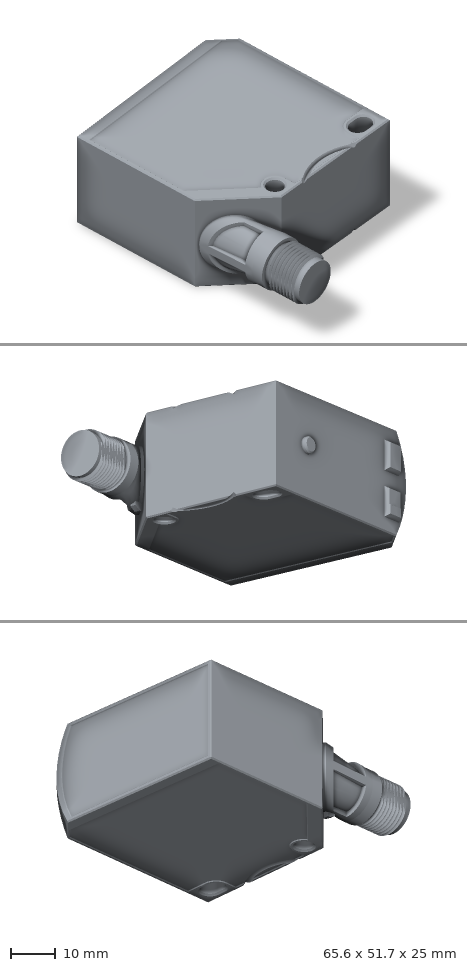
import cadquery as cq
import math

HOUSING_RIGHT = 49.95
HOUSING_DEPTH = 50.5
HOUSING_HEIGHT = 25.0
HALF_HEIGHT = HOUSING_HEIGHT / 2
FRONT_FOOT = 1.25
NOSE_Y = 48.0
BEVEL_LEG = 13.75
RIM_CHAMFER = 0.3
FOOT_CHAMFER = 0.1
NOSE_SAGITTA = 2.55
NOSE_RADIUS = (HALF_HEIGHT ** 2 + NOSE_SAGITTA ** 2) / (2 * NOSE_SAGITTA)
FRONT_SLOPE = FRONT_FOOT / NOSE_Y
BEVEL_START = HOUSING_RIGHT - BEVEL_LEG

HOLE_X = 46.1
ROUND_HOLE_Y = 15.9
SLOT_Y = 45.0
SLOT_TRAVEL = 1.95
HOLE_DIAMETER = 4.4
COUNTERSINK_DIAMETER = 5.25
COUNTERSINK_TAPER = 45
COUNTERSINK_DEPTH = (COUNTERSINK_DIAMETER - HOLE_DIAMETER) / 2

PANEL_DEPTH = 0.2
PANEL_WALL_TAPER = 45
PANEL_MARGIN = 0.8
PANEL_FRONT_MARGIN = 3.1
PANEL_BEVEL_MARGIN = 4.8
PANEL_NOSE_LEG = 2.6
PAD_RADIUS = 3.15
WINDOW_MARGIN = 0.9
WINDOW_NOSE_Y = 46.55
WINDOW_NOSE_FALL = 2.95

GROOVE_Y = 29.95
GROOVE_SETBACK = 3.35
GROOVE_RADIUS = 15.1
GROOVE_OUTER_WIDTH = 0.5
GROOVE_INNER_WIDTH = 1.0
GROOVE_DEPTH = 0.9

BOSS_HEIGHT = 1.2
BUTTON_X = 38.7
BUTTON_DIAMETER = 4.0
BUTTON_CHAMFER = 0.4
LUG_LEFT = 5.2
LUG_RIGHT = 10.4
LUG_TAPER = 30
LUG_OUTER_Z = 9.1
LUG_INNER_Z = 1.85
LOW_LUG_LIMIT_Z = 5.6
LOW_LUG_HEIGHT = 1.0

FLANGE_DIAMETER = 15.5
FLANGE_THICKNESS = 0.7
FLANGE_X = 42.35
FLANGE_Y = FLANGE_X - BEVEL_START
CONNECTOR_Y = 7.2
COLLAR_DIAMETER = 13.0
COLLAR_START = 52.65
COLLAR_END = 55.5
PLUG_END = 65.55
CORE_DIAMETER = 10.75
THREAD_DIAMETER = 12.2
THREAD_PITCH = 1.0
THREAD_START = 56.1
THREAD_TURNS = 8.3
THREAD_BASE_WIDTH = 0.85
THREAD_ROOT_OVERLAP = 0.1

RIB_WIDTH = 2.1
POCKET_TOP_START_Y = 6.0
POCKET_TOP_END_Y = 6.95
POCKET_END = 50.55
POCKET_OFFSET = 2.35
POCKET_DEPTH_FLANGE = 0.9
POCKET_DEPTH_COLLAR = 1.45
TAB_LEFT = 45.0
TAB_RIGHT = 47.2
TAB_TIP_Z = -8.45
TAB_TIP_WIDTH = 0.65
TAB_SHOULDER_Z = -7.55
TAB_ROOT_Z = -6.2
TAB_Y_START = 7.2
TAB_Y_END = 8.65


def front_x(y):
    """X of the sloping front face at a given Y."""
    return FRONT_FOOT - FRONT_SLOPE * y


def bevel_plane(distance):
    """Plane parallel to the 45 degree corner, a distance outside it, on the flange axis."""
    step = distance / math.sqrt(2)
    origin = (FLANGE_X + step, FLANGE_Y - step, 0)
    return cq.Plane(origin=origin, xDir=(1, 1, 0), normal=(1, -1, 0))


def both_faces(tool):
    """A tool made for the top face together with its mirror image for the bottom face."""
    return [tool, tool.mirror("XY")]


def housing_block():
    block = (
        cq.Workplane("XY", origin=(0, 0, -HALF_HEIGHT))
        .moveTo(front_x(0), 0)
        .lineTo(BEVEL_START, 0)
        .lineTo(HOUSING_RIGHT, BEVEL_LEG)
        .lineTo(HOUSING_RIGHT, HOUSING_DEPTH)
        .lineTo(front_x(HOUSING_DEPTH), HOUSING_DEPTH)
        .close()
        .extrude(HOUSING_HEIGHT)
        .faces("|Z")
        .edges()
        .chamfer(RIM_CHAMFER)
        .faces("<Y")
        .edges("|Z")
        .chamfer(FOOT_CHAMFER)
    )
    step = NOSE_RADIUS / math.sqrt(2)
    axis_plane = cq.Plane(origin=(step, NOSE_Y - step, 0), xDir=(0, 0, 1), normal=(1, 1, 0))
    nose = cq.Workplane(axis_plane).circle(NOSE_RADIUS).extrude(2 * PLUG_END, both=True)
    return block.intersect(nose)


def hole_tool(y, travel):
    """Countersunk through hole, stretched along Y by the given travel."""
    def outline(diameter, z):
        plane = cq.Workplane("XY", origin=(HOLE_X, y, z))
        if travel > 0:
            return plane.slot2D(diameter + travel, diameter, 90)
        return plane.circle(diameter / 2)

    tool = outline(HOLE_DIAMETER, -HALF_HEIGHT).extrude(HOUSING_HEIGHT)
    sink = outline(COUNTERSINK_DIAMETER, HALF_HEIGHT).extrude(-COUNTERSINK_DEPTH, taper=COUNTERSINK_TAPER)
    for countersink in both_faces(sink):
        tool = tool.union(countersink)
    return tool


def label_panel():
    """Shallow recess of the top face that leaves pads around the mounting holes."""
    back = HOUSING_DEPTH - PANEL_MARGIN
    right = HOUSING_RIGHT - PANEL_MARGIN
    corner_y = back - PANEL_NOSE_LEG
    corner_x = front_x(corner_y) + PANEL_FRONT_MARGIN
    bevel_x = BEVEL_START - PANEL_BEVEL_MARGIN
    diagonal = PAD_RADIUS / math.sqrt(2)
    slot_low = SLOT_Y - SLOT_TRAVEL / 2
    border_shift = (bevel_x + ROUND_HOLE_Y - HOLE_X) / 2
    meet_x = HOLE_X + border_shift - math.sqrt(PAD_RADIUS ** 2 / 2 - border_shift ** 2)
    meet_y = meet_x - bevel_x
    return (
        cq.Workplane("XY", origin=(0, 0, HALF_HEIGHT))
        .moveTo(front_x(PANEL_MARGIN) + PANEL_FRONT_MARGIN, PANEL_MARGIN)
        .lineTo(bevel_x + PANEL_MARGIN, PANEL_MARGIN)
        .lineTo(meet_x, meet_y)
        .threePointArc(
            (HOLE_X - PAD_RADIUS, ROUND_HOLE_Y),
            (HOLE_X, ROUND_HOLE_Y + PAD_RADIUS),
        )
        .lineTo(right, ROUND_HOLE_Y + PAD_RADIUS)
        .lineTo(right, slot_low - PAD_RADIUS)
        .lineTo(HOLE_X, slot_low - PAD_RADIUS)
        .threePointArc(
            (HOLE_X - diagonal, slot_low - diagonal),
            (HOLE_X - PAD_RADIUS, slot_low),
        )
        .lineTo(HOLE_X - PAD_RADIUS, back)
        .lineTo(corner_x + PANEL_NOSE_LEG, back)
        .lineTo(corner_x, corner_y)
        .close()
        .extrude(-PANEL_DEPTH, taper=PANEL_WALL_TAPER)
    )


def front_window():
    """Shallow recess with tapered walls, sunk into the sloping front face."""
    half = HALF_HEIGHT - WINDOW_MARGIN
    corner_y = WINDOW_NOSE_Y - WINDOW_NOSE_FALL
    front_plane = cq.Plane(
        origin=(front_x(0), 0, 0),
        xDir=(-FRONT_SLOPE, 1, 0),
        normal=(1, FRONT_SLOPE, 0),
    )
    return (
        cq.Workplane(front_plane)
        .moveTo(WINDOW_MARGIN, -half)
        .lineTo(corner_y, -half)
        .threePointArc((WINDOW_NOSE_Y, 0), (corner_y, half))
        .lineTo(WINDOW_MARGIN, half)
        .close()
        .extrude(PANEL_DEPTH, taper=PANEL_WALL_TAPER)
    )


def side_groove():
    """V groove around an upright axis that lies outside the +X side."""
    axis_x = HOUSING_RIGHT - GROOVE_SETBACK + GROOVE_RADIUS
    valley = GROOVE_RADIUS - GROOVE_OUTER_WIDTH
    return (
        cq.Workplane("XZ", origin=(axis_x, GROOVE_Y, HALF_HEIGHT))
        .polyline([
            (GROOVE_RADIUS, 0),
            (valley, -GROOVE_DEPTH),
            (valley - GROOVE_INNER_WIDTH, 0),
        ])
        .close()
        .revolve(360, (0, 0, 0), (0, 1, 0))
    )


def button():
    plane = cq.Workplane("XZ", origin=(BUTTON_X, HOUSING_DEPTH, 0))
    return plane.circle(BUTTON_DIAMETER / 2).extrude(-BOSS_HEIGHT).faces(">Y").chamfer(BUTTON_CHAMFER)


def lug(z_low, z_high, height):
    """Raised bar with four sloping sides, running along Z on the +Y side."""
    center = ((LUG_LEFT + LUG_RIGHT) / 2, HOUSING_DEPTH, (z_low + z_high) / 2)
    base = cq.Workplane("XZ", origin=center).rect(LUG_RIGHT - LUG_LEFT, z_high - z_low)
    return base.extrude(-height, taper=LUG_TAPER)


def make_housing():
    body = housing_block()
    body = body.union(button())
    body = body.union(lug(LUG_INNER_Z, LUG_OUTER_Z, BOSS_HEIGHT))
    body = body.union(lug(-LUG_OUTER_Z, -LOW_LUG_LIMIT_Z, BOSS_HEIGHT))
    body = body.union(lug(-LUG_OUTER_Z, -LUG_INNER_Z, LOW_LUG_HEIGHT))
    for tool in both_faces(label_panel()) + both_faces(side_groove()):
        body = body.cut(tool)
    body = body.cut(front_window())
    body = body.cut(hole_tool(ROUND_HOLE_Y, 0))
    return body.cut(hole_tool(SLOT_Y, SLOT_TRAVEL))


def elbow(flange_inset, collar_inset):
    """Elbow from the flange circle to the collar circle, optionally shrunk."""
    flange_plane = bevel_plane(FLANGE_THICKNESS)
    collar_plane = cq.Plane(origin=(COLLAR_START, CONNECTOR_Y, 0), xDir=(0, 1, 0), normal=(1, 0, 0))
    wires = []
    for plane, radius in (
        (flange_plane, FLANGE_DIAMETER / 2 - flange_inset),
        (collar_plane, COLLAR_DIAMETER / 2 - collar_inset),
    ):
        wires.append(cq.Workplane(plane).circle(radius).wires().val())
    return cq.Workplane(cq.Solid.makeLoft(wires, True))


def grip_pockets():
    """Two pockets in the -Y half of the elbow, one on each side of the rib."""
    shell = elbow(0, 0).cut(elbow(POCKET_DEPTH_FLANGE, POCKET_DEPTH_COLLAR))
    wall_offset = POCKET_OFFSET * math.sqrt(2)
    wall_foot_x = BEVEL_START + wall_offset
    low_y = -FLANGE_DIAMETER / 2
    area = (
        cq.Workplane("XY", origin=(0, 0, RIB_WIDTH / 2))
        .moveTo(wall_foot_x + POCKET_TOP_START_Y, POCKET_TOP_START_Y)
        .lineTo(POCKET_END, POCKET_TOP_END_Y)
        .lineTo(POCKET_END, low_y)
        .lineTo(wall_foot_x + low_y, low_y)
        .close()
        .extrude(FLANGE_DIAMETER)
    )
    return both_faces(shell.intersect(area))


def x_cylinder(diameter, start, end):
    plane = cq.Workplane("YZ", origin=(start, CONNECTOR_Y, 0))
    return plane.circle(diameter / 2).extrude(end - start)


def thread():
    """Helical ridge, cut flat on the +Y and -Y sides level with the core."""
    root = CORE_DIAMETER / 2 - THREAD_ROOT_OVERLAP
    crest = THREAD_DIAMETER / 2
    half_base = THREAD_BASE_WIDTH / 2
    length = THREAD_PITCH * THREAD_TURNS
    helix = cq.Wire.makeHelix(THREAD_PITCH, length, root)
    ridge = (
        cq.Workplane("XZ")
        .polyline([(root, -half_base), (crest, 0), (root, half_base)])
        .close()
        .sweep(cq.Workplane(helix), isFrenet=True)
        .rotate((0, 0, 0), (0, 1, 0), 90)
        .translate((THREAD_START, CONNECTOR_Y, 0))
    )
    flats = cq.Workplane("XY").box(4 * length, CORE_DIAMETER, 2 * THREAD_DIAMETER)
    return ridge.intersect(flats.translate((THREAD_START, CONNECTOR_Y, 0)))


def index_tab():
    """Small pointed tab on the -Z side of the flange."""
    return (
        cq.Workplane("XZ", origin=(0, TAB_Y_START, 0))
        .polyline([
            (TAB_LEFT, TAB_ROOT_Z),
            (TAB_LEFT, TAB_TIP_Z),
            (TAB_LEFT + TAB_TIP_WIDTH, TAB_TIP_Z),
            (TAB_RIGHT, TAB_SHOULDER_Z),
            (TAB_RIGHT, TAB_ROOT_Z),
        ])
        .close()
        .extrude(TAB_Y_START - TAB_Y_END)
    )


def make_connector():
    body = cq.Workplane(bevel_plane(0)).circle(FLANGE_DIAMETER / 2).extrude(FLANGE_THICKNESS)
    body = body.union(elbow(0, 0))
    for pocket in grip_pockets():
        body = body.cut(pocket)
    body = body.union(index_tab())
    body = body.union(x_cylinder(COLLAR_DIAMETER, COLLAR_START, COLLAR_END))
    plug = x_cylinder(CORE_DIAMETER, COLLAR_END, PLUG_END).union(thread())
    return body.union(plug)


housing = make_housing()
connector = make_connector()

result = cq.Compound.makeCompound([housing.val(), connector.val()])